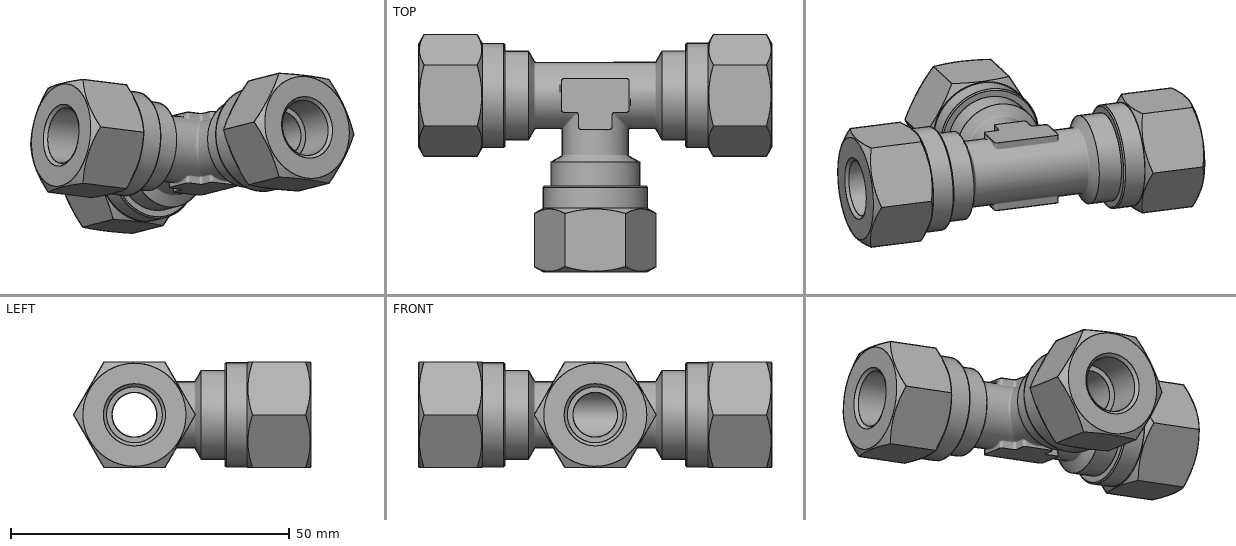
import cadquery as cq
import math

arm_length = 31.75
across_flats = 19.0
nut_start = 20.25
collar_start = 16.25
body_start = 12.0
neck_end = 10.85

collar_radius = 9.4
body_radius = 8.0
neck_radius = 6.0
bore_radius = 4.0
tube_radius = 5.0
countersink_radius = 5.6
tube_socket_depth = 7.6
collar_chamfer = 0.25

nut_face_radius = 9.3
nut_chamfer_angle = 30.0

pad_height = 6.5
pad_length = 12.2
pad_width = 6.1
pad_corner_radius = 0.5
junction_radius = 0.25
shoulder_radius = 0.25
neck_overlap = 1.3
tolerance = 0.005

corner_radius = across_flats / math.sqrt(3)
nut_length = arm_length - nut_start
nut_chamfer_depth = (corner_radius - nut_face_radius) * math.tan(math.radians(nut_chamfer_angle))
countersink_depth = countersink_radius - tube_radius
socket_floor = arm_length - tube_socket_depth


def revolve_along_x(points):
    """Turn a closed (axial, radial) outline around the X axis."""
    return cq.Workplane("XY").polyline(points).close().revolve(360, (0, 0, 0), (1, 0, 0))


def make_stepped_body():
    """Tapered shoulder, body and collar between the neck and the nut."""
    body = revolve_along_x([
        (neck_end - neck_overlap, 0),
        (neck_end - neck_overlap, neck_radius),
        (neck_end, neck_radius),
        (body_start, body_radius),
        (collar_start, body_radius),
        (collar_start, collar_radius - collar_chamfer),
        (collar_start + collar_chamfer, collar_radius),
        (nut_start, collar_radius),
        (nut_start, 0),
    ])
    around_shoulder_foot = cq.selectors.BoxSelector(
        (neck_end - shoulder_radius, -shoulder_radius, -shoulder_radius),
        (neck_end + shoulder_radius, shoulder_radius, shoulder_radius),
    )
    return body.edges(around_shoulder_foot).fillet(shoulder_radius)


def make_nut():
    """Hexagonal nut with flats facing up and down, corners chamfered at both ends."""
    hexagon = (
        cq.Workplane("YZ")
        .workplane(offset=nut_start)
        .polygon(6, 2 * corner_radius)
        .extrude(nut_length)
    )
    chamfer_envelope = revolve_along_x([
        (nut_start, 0),
        (nut_start, nut_face_radius),
        (nut_start + nut_chamfer_depth, corner_radius),
        (arm_length - nut_chamfer_depth, corner_radius),
        (arm_length, nut_face_radius),
        (arm_length, 0),
    ])
    return hexagon.intersect(chamfer_envelope)


def make_bore():
    """Through bore, wider tube socket and countersunk mouth of one arm."""
    return revolve_along_x([
        (0, 0),
        (0, bore_radius),
        (socket_floor, bore_radius),
        (socket_floor, tube_radius),
        (arm_length - countersink_depth, tube_radius),
        (arm_length, countersink_radius),
        (arm_length, 0),
    ])


def on_all_arms(shape):
    """Copies of an arm feature pointing to +X, -X and -Y, joined together."""
    joined = shape
    for angle in (180, -90):
        joined = joined.union(shape.rotate((0, 0, 0), (0, 0, 1), angle))
    return joined


def make_pads():
    """T-shaped flat pads on the top and bottom of the tee junction."""
    half_width = pad_width / 2
    stem_length = pad_length / 2 - half_width
    bar = cq.Workplane("XY").rect(pad_length, pad_width).extrude(pad_height, both=True)
    stem = (
        cq.Workplane("XY")
        .center(0, -half_width - stem_length / 2)
        .rect(pad_width, stem_length)
        .extrude(pad_height, both=True)
    )
    return bar.union(stem).edges("|Z").fillet(pad_corner_radius)


def is_junction_edge(edge):
    """True for the inside edges between the necks and along the foot of the pads."""
    centre = edge.Center()
    on_pad_face = abs(abs(centre.z) - pad_height) < tolerance
    upright = edge.geomType() == "LINE" and abs(edge.tangentAt(0).z) > 0.65 - tolerance
    on_neck_crest = edge.geomType() == "LINE" and abs(abs(centre.z) - neck_radius) < tolerance
    at_neck_end = max(abs(centre.x), abs(centre.y)) > neck_end - tolerance
    return not (on_pad_face or upright or on_neck_crest or at_neck_end)


def make_junction():
    """Three plain necks joined by the pads, with the inside edges blended."""
    neck = cq.Workplane("YZ").circle(neck_radius).extrude(neck_end)
    neck = neck.rotate((0, 0, 0), (1, 0, 0), 90)
    junction = on_all_arms(neck).union(make_pads())
    inside_edges = [edge for edge in junction.edges().vals() if is_junction_edge(edge)]
    return junction.newObject(inside_edges).fillet(junction_radius)


tee = make_junction()
for section in (make_stepped_body(), make_nut()):
    tee = tee.union(on_all_arms(section))

result = tee.cut(on_all_arms(make_bore()))